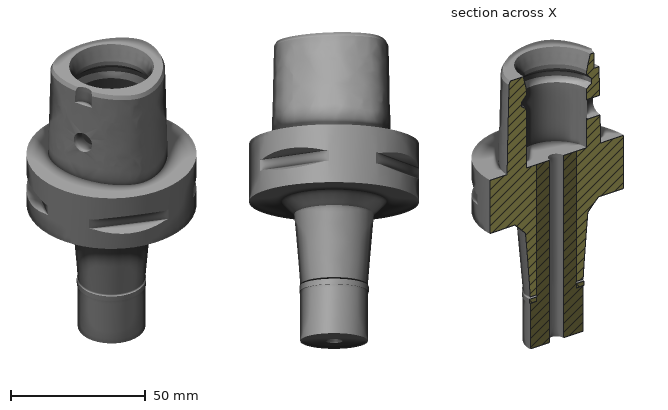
import cadquery as cq
import math

TOTAL_LENGTH = 113.0

NOSE_RADIUS = 12.5
NOSE_LENGTH = 18.6
STEM_RADIUS = 9.3
COOLANT_RADIUS = 3.2
RING_RADIUS = 12.9
RING_HEIGHT = 2.0
RING_GAP = 0.7

NECK_BOTTOM_RADIUS = NOSE_RADIUS
NECK_TOP_RADIUS = 14.8
NECK_TOP_Z = 48.3
FLARE_RADIUS = 19.7
FLANGE_BOTTOM_Z = 53.0
FLANGE_RADIUS = 31.5
FLANGE_HEIGHT = 22.0

NOTCH_COUNT = 4
NOTCH_FIRST_ANGLE = 45.0
NOTCH_Z = 63.2
NOTCH_FLOOR_DISTANCE = 27.7
NOTCH_FLOOR_HEIGHT = 4.2
NOTCH_WALL_DEPTH = 0.8
NOTCH_FLARE_ANGLE = 30.0

SHANK_RADIUS = 22.1
LOBE_AMPLITUDE = 1.4
LOBE_COUNT = 3
LOBE_ANGLE = math.pi / 2
SHANK_TAPER = 0.025
RIM_HEIGHT = 1.5
RIM_INSET = 0.8
OUTLINE_STEPS = 72

BORE_RADIUS = 14.0
BORE_MOUTH_RADIUS = 15.7
MOUTH_CONE_DEPTH = 6.4
GROOVE_RADIUS = 16.4
GROOVE_START_DEPTH = 8.0
GROOVE_FLOOR_DEPTH = 12.2
GROOVE_END_DEPTH = 13.8

KEY_SLOT_RADIUS = 4.3
KEY_SLOT_AXIS_Y = -22.0
KEY_SLOT_DEPTH = 6.3
SIDE_HOLE_RADIUS = 4.0
SIDE_HOLE_Z = 90.6
SIDE_HOLE_FLOOR_Y = -14.5

RING_TOP_Z = NOSE_LENGTH + RING_HEIGHT
NECK_BOTTOM_Z = RING_TOP_Z + RING_GAP
FLANGE_TOP_Z = FLANGE_BOTTOM_Z + FLANGE_HEIGHT
RIM_Z = TOTAL_LENGTH - RIM_HEIGHT
BORE_FLOOR_Z = FLANGE_TOP_Z


def shank_outline(mean_radius, z):
    """Smooth three-lobed wire at height z, from its support distance in each direction."""
    def point(t):
        angle = 2 * math.pi * t - math.pi / 2
        phase = LOBE_COUNT * (angle - LOBE_ANGLE)
        support = mean_radius + LOBE_AMPLITUDE * math.cos(phase)
        slope = -LOBE_COUNT * LOBE_AMPLITUDE * math.sin(phase)
        return (
            support * math.cos(angle) - slope * math.sin(angle),
            support * math.sin(angle) + slope * math.cos(angle),
            z,
        )

    points = [cq.Vector(*point(i / OUTLINE_STEPS)) for i in range(OUTLINE_STEPS)]
    return cq.Wire.assembleEdges([cq.Edge.makeSpline(points, periodic=True)])


def make_shank():
    """Tapered lobed shank with a bevelled rim."""
    rim_radius = SHANK_RADIUS - SHANK_TAPER * (RIM_Z - FLANGE_TOP_Z)
    base = shank_outline(SHANK_RADIUS, FLANGE_TOP_Z)
    rim = shank_outline(rim_radius, RIM_Z)
    top = shank_outline(rim_radius - RIM_INSET, TOTAL_LENGTH)
    taper = cq.Solid.makeLoft([base, rim], True)
    bevel = cq.Solid.makeLoft([rim, top], True)
    return cq.Workplane(taper).union(cq.Workplane(bevel))


def make_flange_and_neck():
    """Turned body below the shank."""
    profile = [
        (0, NECK_BOTTOM_Z),
        (NECK_BOTTOM_RADIUS, NECK_BOTTOM_Z),
        (NECK_TOP_RADIUS, NECK_TOP_Z),
        (FLARE_RADIUS, FLANGE_BOTTOM_Z),
        (FLANGE_RADIUS, FLANGE_BOTTOM_Z),
        (FLANGE_RADIUS, FLANGE_TOP_Z),
        (0, FLANGE_TOP_Z),
    ]
    return cq.Workplane("XZ").polyline(profile).close().revolve(360, (0, 0), (0, 1))


def make_bore():
    """Space inside the shank: conical mouth, clamping groove and plain bore."""
    chamfer_end_depth = GROOVE_START_DEPTH + GROOVE_RADIUS - BORE_RADIUS
    profile = [
        (0, TOTAL_LENGTH),
        (BORE_MOUTH_RADIUS, TOTAL_LENGTH),
        (BORE_RADIUS, TOTAL_LENGTH - MOUTH_CONE_DEPTH),
        (BORE_RADIUS, TOTAL_LENGTH - GROOVE_START_DEPTH),
        (GROOVE_RADIUS, TOTAL_LENGTH - chamfer_end_depth),
        (GROOVE_RADIUS, TOTAL_LENGTH - GROOVE_FLOOR_DEPTH),
        (BORE_RADIUS, TOTAL_LENGTH - GROOVE_END_DEPTH),
        (BORE_RADIUS, BORE_FLOOR_Z),
        (0, BORE_FLOOR_Z),
    ]
    return cq.Workplane("XZ").polyline(profile).close().revolve(360, (0, 0), (0, 1))


def make_notch(angle):
    """Flat-floored gripper notch with flaring walls, tangential to the flange at the given angle."""
    half_floor = NOTCH_FLOOR_HEIGHT / 2
    flare_start = NOTCH_FLOOR_DISTANCE + NOTCH_WALL_DEPTH
    flare_rise = (FLANGE_RADIUS - flare_start) * math.tan(math.radians(NOTCH_FLARE_ANGLE))
    half_mouth = half_floor + flare_rise
    profile = [
        (NOTCH_FLOOR_DISTANCE, NOTCH_Z - half_floor),
        (flare_start, NOTCH_Z - half_floor),
        (FLANGE_RADIUS, NOTCH_Z - half_mouth),
        (FLANGE_RADIUS, NOTCH_Z + half_mouth),
        (flare_start, NOTCH_Z + half_floor),
        (NOTCH_FLOOR_DISTANCE, NOTCH_Z + half_floor),
    ]
    notch = cq.Workplane("XZ").polyline(profile).close().extrude(FLANGE_RADIUS, both=True)
    return notch.rotate((0, 0, 0), (0, 0, 1), angle)


def make_key_slot():
    """Round-backed slot in the rim of the shank."""
    slot = cq.Workplane("XY", origin=(0, KEY_SLOT_AXIS_Y, TOTAL_LENGTH - KEY_SLOT_DEPTH))
    return slot.circle(KEY_SLOT_RADIUS).extrude(KEY_SLOT_DEPTH)


def make_side_hole():
    """Blind flat-bottomed hole entering the shank from -Y."""
    hole = cq.Workplane("XZ", origin=(0, SIDE_HOLE_FLOOR_Y, SIDE_HOLE_Z))
    return hole.circle(SIDE_HOLE_RADIUS).extrude(FLANGE_RADIUS + SIDE_HOLE_FLOOR_Y)


def make_holder():
    """Shank, flange and neck in one piece, bored for the stem of the nose."""
    stem_hole = cq.Workplane("XY").circle(STEM_RADIUS).extrude(TOTAL_LENGTH)
    body = make_flange_and_neck().union(make_shank())
    body = body.cut(make_bore()).cut(stem_hole).cut(make_key_slot()).cut(make_side_hole())
    for i in range(NOTCH_COUNT):
        body = body.cut(make_notch(NOTCH_FIRST_ANGLE + i * 360 / NOTCH_COUNT))
    return body


def make_ring():
    """Spacer ring around the stem, resting on the nose."""
    base = cq.Workplane("XY", origin=(0, 0, NOSE_LENGTH))
    return base.circle(RING_RADIUS).circle(STEM_RADIUS).extrude(RING_HEIGHT)


def make_nose():
    """Cylindrical nose whose stem reaches up to the bore floor, drilled through for coolant."""
    head = cq.Workplane("XY").circle(NOSE_RADIUS).extrude(NOSE_LENGTH)
    stem = cq.Workplane("XY").circle(STEM_RADIUS).extrude(BORE_FLOOR_Z)
    coolant_hole = cq.Workplane("XY").circle(COOLANT_RADIUS).extrude(BORE_FLOOR_Z)
    return head.union(stem).cut(coolant_hole)


holder = make_holder()
ring = make_ring()
nose = make_nose()

result = cq.Compound.makeCompound([holder.solids().val(), ring.val(), nose.solids().val()])